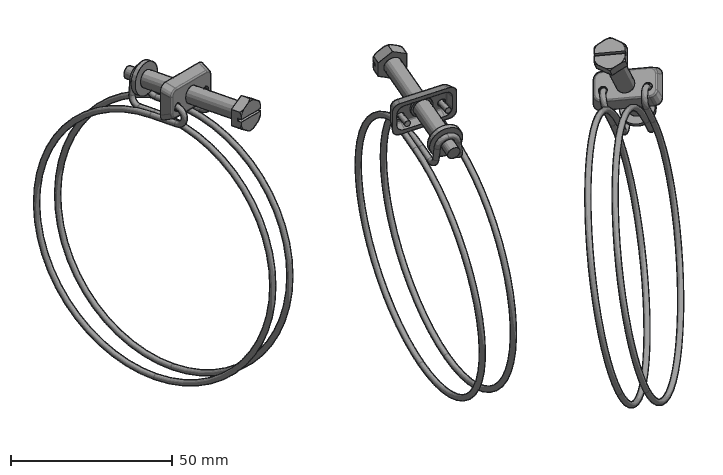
import cadquery as cq
import math

wire_radius = 1.0
ring_radius = 45.9
overall_height = 107.4

plate_height = 13.1
plate_width = 22.0
plate_start = 7.0
plate_depth = 3.8
plate_corner = 2.6
plate_back_inset_y = 1.0
plate_back_inset_z = 1.5
plate_back_corner = 2.4
plate_back_fillet = 0.6
plate_rim = 1.5
recess_corner = 2.7
recess_depth = 2.7
recess_inset_y = 0.6
recess_inset_z = 1.0
recess_floor_corner = 1.9
recess_floor_fillet = 0.3
collar_radius = 3.8
collar_height = 0.8
wire_hole_radius = 1.4
wire_hole_shift = 0.2

shank_radius = 3.0
nose_radius = 2.1
nose_start = -14.2
flange_radius = 5.7
flange_start = -8.6
flange_thickness = 1.6
head_radius = 5.7
head_start = 30.2
head_height = 3.9
head_chamfer = 0.5
slot_width = 0.9
slot_depth = 1.5

leg_spread_angle = math.radians(6)
leg_bend_radius = 3.3
strand_gap = 0.02
hook_start = 9.8
hook_radius = 3.2
hook_turn_angle = math.radians(170)
hook_lean_angle = math.radians(5)
wire_tip = 4.6

axis_z = overall_height - ring_radius - wire_radius - plate_height / 2
flange_end = flange_start + flange_thickness
head_end = head_start + head_height
recess_floor = plate_start + recess_depth
plate_end = plate_start + plate_depth
yoke_x = flange_start - wire_radius

yoke_crown = nose_radius + wire_radius
arch_radius = yoke_crown / (1 - math.sin(leg_spread_angle))
arch_end_y = arch_radius * math.cos(leg_spread_angle)
leg_drop = axis_z - ring_radius
inner_strand_y = arch_end_y + leg_drop * math.tan(leg_spread_angle)
outer_strand_y = inner_strand_y + 2 * wire_radius + strand_gap


def yz_plane(x):
    """Plane across the screw axis at the given X, with its normal along +X."""
    return cq.Workplane("YZ", origin=(x, 0, axis_z))


def rounded_block(x, length, width, height, corner, inset_y, inset_z, end_corner):
    """Tapered block with rounded corners, leaning in by the insets over its length."""
    start = cq.Sketch().rect(width, height).vertices().fillet(corner)
    end = cq.Sketch().rect(width - 2 * inset_y, height - 2 * inset_z).vertices().fillet(end_corner)
    return yz_plane(x).placeSketch(start, end.moved(cq.Location((0, 0, length)))).loft()


def make_screw():
    """Slotted hexagon screw with a flange and a thinner nose at its tip."""
    nose = yz_plane(nose_start).circle(nose_radius).extrude(flange_start - nose_start)
    flange = yz_plane(flange_start).circle(flange_radius).extrude(flange_thickness)
    shank = yz_plane(flange_end).circle(shank_radius).extrude(head_start - flange_end)

    hexagon = (
        yz_plane(head_start).transformed(rotate=(0, 0, 90))
        .polygon(6, 2 * head_radius).extrude(head_height)
    )
    head_turning = (
        yz_plane(head_start).circle(head_radius).extrude(head_height)
        .faces(">X").chamfer(head_chamfer)
    )
    slot = cq.Workplane("XY").box(2 * slot_depth, 2 * head_radius, slot_width)
    head = hexagon.intersect(head_turning).cut(slot.translate((head_end, 0, axis_z)))

    return nose.union(flange).union(shank).union(head)


def hook_end():
    """Point and direction of the +Y wire where its hook ends and its straight tip starts."""
    sine = math.sin(hook_turn_angle)
    cosine = math.cos(hook_turn_angle)
    lean_up = cq.Vector(0, math.sin(hook_lean_angle), math.cos(hook_lean_angle))
    start = cq.Vector(hook_start, outer_strand_y, ring_radius)
    point = start + cq.Vector(hook_radius * sine, 0, 0) + lean_up * (hook_radius * (1 - cosine))
    direction = cq.Vector(cosine, 0, 0) + lean_up * sine
    return point, direction


def half_wire_path():
    """Centre line from the crown of the yoke to the free end on the +Y side."""
    crown = cq.Vector(yoke_x, 0, axis_z + yoke_crown)
    arch_end = cq.Vector(yoke_x, arch_end_y, axis_z)
    leg_direction = cq.Vector(0, math.sin(leg_spread_angle), -math.cos(leg_spread_angle))
    leg_length = leg_drop / math.cos(leg_spread_angle) - leg_bend_radius
    leg_end = arch_end + leg_direction * leg_length
    bend_end = leg_end + (leg_direction + cq.Vector(1, 0, 0)) * leg_bend_radius
    ring_start = cq.Vector(0, inner_strand_y, ring_radius)
    ring_bottom = cq.Vector(0, inner_strand_y, -ring_radius)
    ring_end = cq.Vector(0, outer_strand_y, ring_radius)
    hook_first = cq.Vector(hook_start, outer_strand_y, ring_radius)
    hook_last, tip_direction = hook_end()
    tip = hook_last + tip_direction * ((wire_tip - hook_last.x) / tip_direction.x)

    along_x = cq.Vector(1, 0, 0)
    return cq.Wire.assembleEdges([
        cq.Edge.makeTangentArc(crown, cq.Vector(0, 1, 0), arch_end),
        cq.Edge.makeLine(arch_end, leg_end),
        cq.Edge.makeTangentArc(leg_end, leg_direction, bend_end),
        cq.Edge.makeLine(bend_end, ring_start),
        cq.Edge.makeTangentArc(ring_start, along_x, ring_bottom),
        cq.Edge.makeTangentArc(ring_bottom, -along_x, ring_end),
        cq.Edge.makeLine(ring_end, hook_first),
        cq.Edge.makeTangentArc(hook_first, along_x, hook_last),
        cq.Edge.makeLine(hook_last, tip),
    ])


def make_wire():
    """Continuous wire: a yoke over the nose, one ring on each side, and a hook at each end."""
    half = (
        cq.Workplane("XZ", origin=(yoke_x, 0, axis_z + yoke_crown))
        .circle(wire_radius).sweep(half_wire_path())
    )
    return half.union(half.mirror("XZ"))


def make_plate():
    """Dished plate with a threaded hole for the screw and two holes for the wire ends."""
    body = rounded_block(plate_start, plate_depth, plate_width, plate_height, plate_corner,
                         plate_back_inset_y, plate_back_inset_z, plate_back_corner)
    body = body.faces(">X").edges().fillet(plate_back_fillet)
    recess = rounded_block(plate_start, recess_depth,
                           plate_width - 2 * plate_rim, plate_height - 2 * plate_rim, recess_corner,
                           recess_inset_y, recess_inset_z, recess_floor_corner)
    recess = recess.faces(">X").edges().fillet(recess_floor_fillet)
    collar = yz_plane(recess_floor - collar_height).circle(collar_radius).extrude(2 * collar_height)
    screw_hole = yz_plane(plate_start).circle(shank_radius).extrude(plate_depth)

    point, direction = hook_end()
    floor_middle = (recess_floor + plate_end) / 2
    crossing = point + direction * ((floor_middle - point.x) / direction.x)
    hole_y = crossing.y + wire_hole_shift
    hole_z = crossing.z - axis_z
    wire_holes = (
        yz_plane(plate_start)
        .pushPoints([(-hole_y, hole_z), (hole_y, hole_z)])
        .circle(wire_hole_radius).extrude(plate_depth)
    )
    return body.cut(recess).union(collar).cut(screw_hole).cut(wire_holes)


screw = make_screw()
plate = make_plate()
wire = make_wire()

result = cq.Compound.makeCompound([screw.solids().val(), plate.solids().val(), wire.solids().val()])